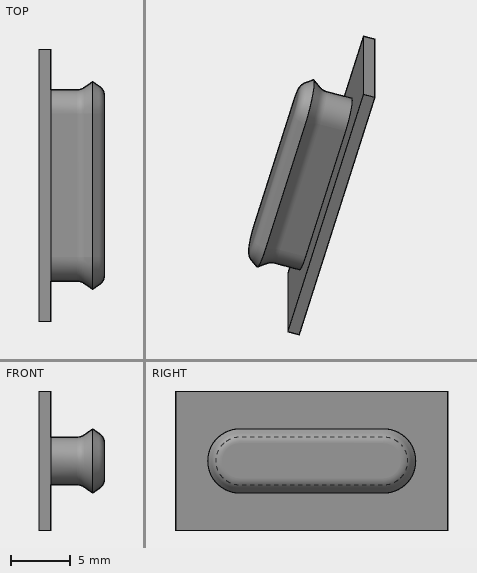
import cadquery as cq
import math

plate_thickness = 1.0
plate_length = 22.7
plate_height = 11.6
total_depth = 5.5
straight_length = 11.99
neck_radius = 2.0
rim_radius = 2.68
rim_x = 4.5
blend_radius = 1.0
slope = math.radians(35)


def arc_point(center, angle):
    """Point on a blend arc, at an angle from +X toward the outside."""
    return (
        center[0] + blend_radius * math.cos(angle),
        center[1] + blend_radius * math.sin(angle),
    )


neck_blend_rise = blend_radius * (1 - math.cos(slope))
flank_run = (rim_radius - neck_radius - neck_blend_rise) / math.tan(slope)
neck_end_x = rim_x - flank_run - blend_radius * math.sin(slope)
neck_blend_center = (neck_end_x, neck_radius + blend_radius)
neck_blend_start = -math.pi / 2

nose_center_x = total_depth - blend_radius
nose_flank_angle = math.pi / 2 - slope
nose_flank_x = nose_center_x + blend_radius * math.cos(nose_flank_angle)
nose_flank_radius = rim_radius - (nose_flank_x - rim_x) * math.tan(slope)
nose_center = (nose_center_x, nose_flank_radius - blend_radius * math.sin(nose_flank_angle))


def half_profile():
    """Half section of the stud in the XY plane, from its axis outward."""
    return (
        cq.Workplane("XY")
        .moveTo(0, 0)
        .lineTo(0, neck_radius)
        .lineTo(neck_end_x, neck_radius)
        .threePointArc(
            arc_point(neck_blend_center, neck_blend_start + slope / 2),
            arc_point(neck_blend_center, neck_blend_start + slope),
        )
        .lineTo(rim_x, rim_radius)
        .lineTo(nose_flank_x, nose_flank_radius)
        .threePointArc(
            arc_point(nose_center, nose_flank_angle / 2),
            arc_point(nose_center, 0),
        )
        .lineTo(total_depth, 0)
        .close()
    )


plate = cq.Workplane("XY").box(
    plate_thickness, plate_length, plate_height, centered=(False, True, True)
)

round_end = half_profile().revolve(360, (0, 0, 0), (1, 0, 0))
upper_bar = half_profile().extrude(straight_length / 2, both=True).rotate((0, 0, 0), (1, 0, 0), 90)
lower_bar = upper_bar.mirror("XY")
stud = upper_bar.union(lower_bar)
for side in (-1, 1):
    stud = stud.union(round_end.translate((0, side * straight_length / 2, 0)))

result = plate.union(stud).clean()